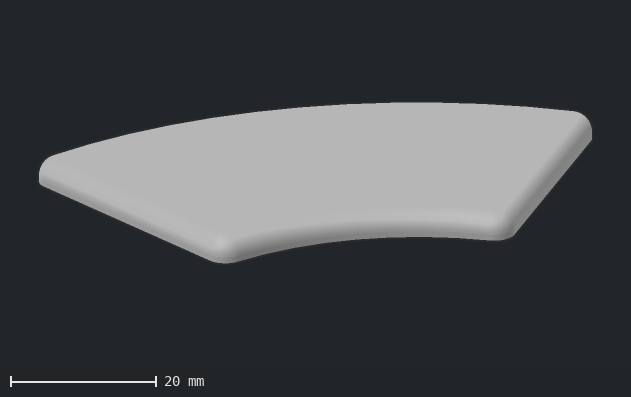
import cadquery as cq
import math

outer_radius = 80.0
inner_radius = 40.0
thickness = 4.0
edge_radius = 3.0
start_angle = 90.0
end_angle = 150.0


def polar(radius, angle):
    """Point at a radius and an angle in degrees about the sector centre."""
    return (radius * math.cos(math.radians(angle)), radius * math.sin(math.radians(angle)))


def sector_plate():
    """Flat ring sector with sharp edges, centred on the Z axis."""
    middle_angle = (start_angle + end_angle) / 2
    return (
        cq.Workplane("XY")
        .moveTo(*polar(inner_radius, start_angle))
        .lineTo(*polar(outer_radius, start_angle))
        .threePointArc(polar(outer_radius, middle_angle), polar(outer_radius, end_angle))
        .lineTo(*polar(inner_radius, end_angle))
        .threePointArc(polar(inner_radius, middle_angle), polar(inner_radius, start_angle))
        .close()
        .extrude(thickness)
    )


result = sector_plate().edges("|Z or >Z").fillet(edge_radius)